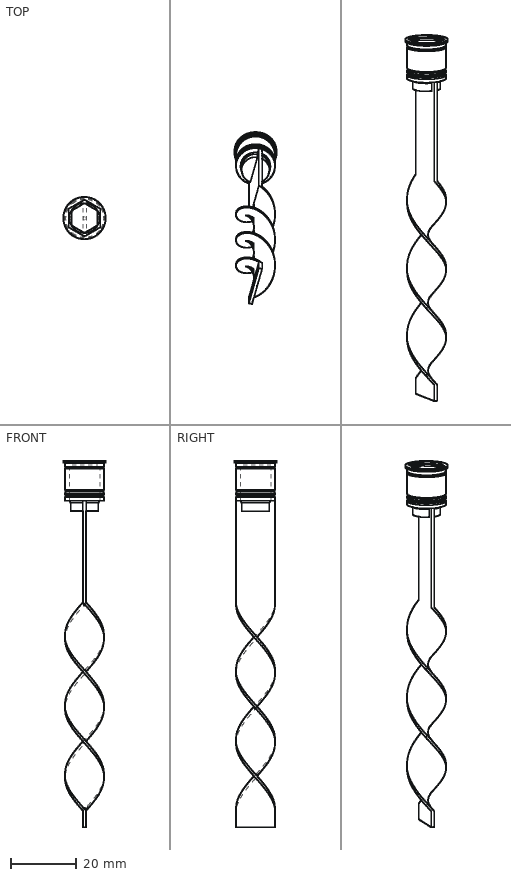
import cadquery as cq
import math

total_height = 112.5
clearance_cut = 1.1

strip_width = 12.0
strip_thickness = 1.0
tail_length = 5.1
twist_length = 64.0
twist_angle = -540.0

flange_radius = 6.5
flange_thickness = 0.6
sleeve_radius = strip_width / 2
housing_height = 12.3
undercut_chamfer = 0.2
groove_depth = 0.17
upper_groove_offset = 1.8
upper_groove_width = 0.7
lower_groove_offset = 8.9
lower_groove_width = 1.0
lower_groove_pitch = 1.4
lower_groove_count = 2
socket_flats = 9.8
socket_depth = 0.6

recess_flats = 7.9
recess_depth = 0.6
shank_radius = 4.6
spigot_radius = 4.3
taper_height = 0.7
insert_height = 15.4

housing_bottom = total_height - housing_height
insert_bottom = total_height - insert_height
socket_floor = total_height - socket_depth
twist_top = tail_length + twist_length


def cylinder(radius, bottom, top):
    return cq.Workplane("XY").workplane(offset=bottom).circle(radius).extrude(top - bottom)


def hexagon(across_flats, bottom, top):
    """Hexagonal prism with two corners on the Y axis."""
    corner_diameter = across_flats / math.cos(math.pi / 6)
    prism = cq.Workplane("XY").polygon(6, corner_diameter).extrude(top - bottom)
    return prism.rotate((0, 0, 0), (0, 0, 1), 90).translate((0, 0, bottom))


def flat_bar(bottom, top):
    """Straight stretch of the strip, its width along Y."""
    base = cq.Workplane("XY").workplane(offset=bottom)
    return base.rect(strip_thickness, strip_width).extrude(top - bottom)


def cone(bottom_radius, top_radius, bottom, top):
    outline = [(0, bottom), (bottom_radius, bottom), (top_radius, top), (0, top)]
    return cq.Workplane("XZ").polyline(outline).close().revolve(360, (0, 0, 0), (0, 1, 0))


def ring_groove(offset, width):
    """Ring of triangular section that cuts a V-groove into the sleeve."""
    top = total_height - offset
    bottom = top - width
    outline = [
        (sleeve_radius, top),
        (sleeve_radius - groove_depth, (top + bottom) / 2),
        (sleeve_radius, bottom),
    ]
    return cq.Workplane("XZ").polyline(outline).close().revolve(360, (0, 0, 0), (0, 1, 0))


def make_housing():
    flange_bottom = total_height - flange_thickness
    flange = cylinder(flange_radius, flange_bottom, total_height)
    undercut = cone(
        sleeve_radius, sleeve_radius + undercut_chamfer, flange_bottom - undercut_chamfer, flange_bottom
    )
    body = cylinder(sleeve_radius, housing_bottom, total_height).union(flange).union(undercut)
    body = body.cut(hexagon(socket_flats, socket_floor, total_height + clearance_cut))
    body = body.cut(cylinder(shank_radius, housing_bottom - clearance_cut, total_height))
    body = body.cut(ring_groove(upper_groove_offset, upper_groove_width))
    for index in range(lower_groove_count):
        offset = lower_groove_offset + index * lower_groove_pitch
        body = body.cut(ring_groove(offset, lower_groove_width))
    return body


def make_insert():
    taper_bottom = housing_bottom - taper_height
    shank = cylinder(shank_radius, housing_bottom, socket_floor)
    taper = cone(spigot_radius, shank_radius, taper_bottom, housing_bottom)
    spigot = cylinder(spigot_radius, insert_bottom, taper_bottom)
    recess = hexagon(recess_flats, socket_floor - recess_depth, total_height)
    slot = flat_bar(insert_bottom - clearance_cut, housing_bottom)
    return shank.union(taper).union(spigot).cut(recess).cut(slot)


def make_strip():
    tail = flat_bar(0, tail_length)
    twist = (
        cq.Workplane("XY")
        .workplane(offset=tail_length)
        .rect(strip_thickness, strip_width)
        .twistExtrude(twist_length, twist_angle)
    )
    return tail.union(twist).union(flat_bar(twist_top, housing_bottom))


housing = make_housing()
insert = make_insert()
strip = make_strip()

result = cq.Compound.makeCompound([housing.val(), insert.val(), strip.val()])